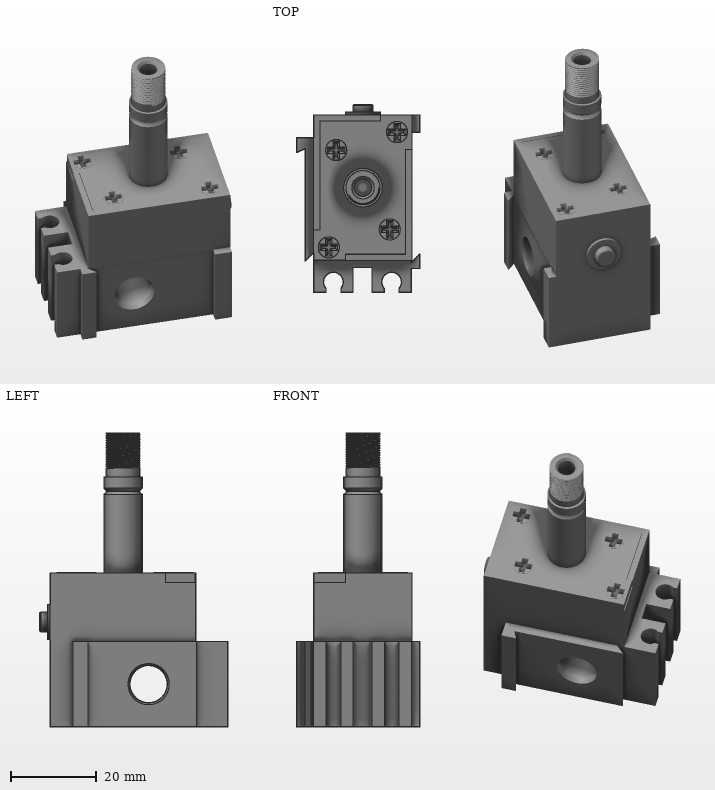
import cadquery as cq

BLOCK_WIDTH = 23.0
BLOCK_DEPTH = 34.0
BLOCK_TOP = 36.0
BASE_HEIGHT = 20.0
BASE_WIDTH = 22.8
BASE_DEPTH = 41.5
LEFT = -BLOCK_WIDTH / 2
BACK = BLOCK_DEPTH / 2
FRONT = -BACK
BASE_RIGHT = LEFT + BASE_WIDTH
BASE_FRONT = BACK - BASE_DEPTH
BASE_MIDDLE = (LEFT + BASE_RIGHT) / 2

LEFT_RAIL_THICKNESS = 2.0
LEFT_HOOK_REACH = 4.0
LEFT_HOOK_BACK = 11.7
LEFT_HOOK_TIP = 8.2
LEFT_HOOK_ROOT = 9.1
LEFT_RAIL_TIP = -17.2

RIGHT_LUG_THICKNESS = 1.8
RIGHT_RAIL_REACH = -LEFT + RIGHT_LUG_THICKNESS
BACK_LUG_LENGTH = 4.05
FRONT_LUG_FRONT = -18.9
FRONT_LUG_TIP = -15.45

NOTCH_WIDTH = 4.4
NOTCH_BACK = -18.7
SLOT_SPACING = 13.6
SLOT_CENTRE_Y = -22.05
SLOT_RADIUS = 2.3
SLOT_NECK = 3.45

PORT_Y = -6.0
PORT_RADIUS = 4.3
PORT_CHAMFER = 0.5
PORT_CHAMFER_LENGTH = 1.0

BUTTON_Z = 24.5
WASHER_RADIUS = 4.1
WASHER_THICKNESS = 0.7
BUTTON_RADIUS = 2.35
BUTTON_REACH = 2.5
BUTTON_CHAMFER = 0.3

COVER_THICKNESS = 2.3
RIM_WIDTH = 1.5
RIM_DEPTH = 1.4
FRONT_GAP = 0.15
TAB_X = 4.1
COVER_MIDDLE_Y = -0.5
TAB_Y = 9.4
COVER_BOTTOM = BLOCK_TOP - COVER_THICKNESS

INNER_SCREW = (-6.25, 9.3)
OUTER_SCREW = (8.0, 13.45)
SCREW_RADIUS = 2.5
SCREW_RISE = 0.1
CROSS_LENGTH = 4.1
CROSS_WIDTH = 1.5
CROSS_DEPTH = 1.4
CROSS_TAPER = 20

STEM_DIAMETER = 9.0
STEM_RADIUS = STEM_DIAMETER / 2
GROOVE_CENTRE = 55.0
GROOVE_HALF_HEIGHT = 0.75
GROOVE_DEPTH = 0.75
COLLAR_TOP = 58.4
NECK_RADIUS = 4.0
THREAD_START = 60.45
STEM_TOP = 68.7
THREAD_PITCH = 0.55
THREAD_DEPTH = 0.3
THREAD_GROOVE_WIDTH = 0.5
BORE_RADIUS = 2.05
BORE_CHAMFER = 0.55
BORE_DEPTH = 10.3


def base_profile():
    """Base with its coupling rails, as one extruded outline."""
    lug_root = FRONT_LUG_TIP - (RIGHT_RAIL_REACH - BASE_RIGHT)
    rail_face = LEFT - LEFT_RAIL_THICKNESS
    hook_face = LEFT - LEFT_HOOK_REACH
    outline = [
        (LEFT, BACK),
        (RIGHT_RAIL_REACH, BACK),
        (RIGHT_RAIL_REACH, BACK - BACK_LUG_LENGTH),
        (BASE_RIGHT, BACK - BACK_LUG_LENGTH),
        (BASE_RIGHT, lug_root),
        (RIGHT_RAIL_REACH, FRONT_LUG_TIP),
        (RIGHT_RAIL_REACH, FRONT_LUG_FRONT),
        (BASE_RIGHT, FRONT_LUG_FRONT),
        (BASE_RIGHT, BASE_FRONT),
        (LEFT, BASE_FRONT),
        (LEFT, LEFT_RAIL_TIP + LEFT_RAIL_THICKNESS),
        (rail_face, LEFT_RAIL_TIP),
        (rail_face, LEFT_HOOK_ROOT),
        (hook_face, LEFT_HOOK_TIP),
        (hook_face, LEFT_HOOK_BACK),
        (LEFT, LEFT_HOOK_BACK),
    ]
    return cq.Workplane("XY").polyline(outline).close().extrude(BASE_HEIGHT)


def front_cut(x, width, back):
    """Upright slot of the given width, open to the front of the base."""
    length = back - BASE_FRONT
    return cq.Workplane("XY").center(x, BASE_FRONT + length / 2).rect(width, length).extrude(BASE_HEIGHT)


def mounting_slot(x):
    """Round mounting hole with a narrower mouth at the front."""
    hole = cq.Workplane("XY").center(x, SLOT_CENTRE_Y).circle(SLOT_RADIUS).extrude(BASE_HEIGHT)
    return hole.union(front_cut(x, SLOT_NECK, SLOT_CENTRE_Y))


def port():
    """Chamfered cross bore through the base from side to side."""
    wide = PORT_RADIUS + PORT_CHAMFER
    left_face = LEFT - LEFT_RAIL_THICKNESS
    profile = [
        (left_face, 0),
        (left_face, wide),
        (left_face + PORT_CHAMFER_LENGTH, PORT_RADIUS),
        (BASE_RIGHT - PORT_CHAMFER_LENGTH, PORT_RADIUS),
        (BASE_RIGHT, wide),
        (BASE_RIGHT, 0),
    ]
    bore = cq.Workplane("XY").polyline(profile).close().revolve(360, (0, 0, 0), (1, 0, 0))
    return bore.translate((0, PORT_Y, BASE_HEIGHT / 2))


def override_button():
    """Washer and push button standing on the back face."""
    back_face = cq.Workplane("XZ", origin=(0, BACK, BUTTON_Z))
    washer = back_face.circle(WASHER_RADIUS).extrude(-WASHER_THICKNESS)
    button = back_face.circle(BUTTON_RADIUS).extrude(-BUTTON_REACH).faces(">Y").chamfer(BUTTON_CHAMFER)
    return washer.union(button)


def cover_plate(front_gap):
    """Cover outline pulled back from the front by front_gap; without a gap it fills the recess."""
    right = -LEFT
    rear_tab = COVER_MIDDLE_Y + TAB_Y
    front_tab = COVER_MIDDLE_Y - TAB_Y
    outline = [
        (TAB_X, BACK),
        (right, BACK),
        (right, rear_tab),
        (right - RIM_WIDTH, rear_tab),
        (right - RIM_WIDTH, FRONT + RIM_DEPTH + front_gap),
        (-TAB_X, FRONT + RIM_DEPTH + front_gap),
        (-TAB_X, FRONT + front_gap),
        (LEFT, FRONT + front_gap),
        (LEFT, front_tab),
        (LEFT + RIM_WIDTH, front_tab),
        (LEFT + RIM_WIDTH, BACK - RIM_DEPTH),
        (TAB_X, BACK - RIM_DEPTH),
    ]
    return cq.Workplane("XY").workplane(offset=COVER_BOTTOM).polyline(outline).close().extrude(COVER_THICKNESS)


def screw_places():
    """Two screws and their half-turn copies about the middle of the cover."""
    return [
        (side * x, COVER_MIDDLE_Y + side * y)
        for x, y in (INNER_SCREW, OUTER_SCREW)
        for side in (1, -1)
    ]


def cross_recess():
    """Tapered cross-shaped driver recess, sunk from the top of a screw head at the origin."""
    long = CROSS_LENGTH / 2
    short = CROSS_WIDTH / 2
    quarter = [(long, -short), (long, short), (short, short)]
    outline = []
    for turn in range(4):
        for x, y in quarter:
            for _ in range(turn):
                x, y = -y, x
            outline.append((x, y))
    return cq.Workplane("XY").polyline(outline).close().extrude(-CROSS_DEPTH, taper=CROSS_TAPER)


def stem_profile():
    """Half section of the stem with groove, collar, neck and bore."""
    groove_low = GROOVE_CENTRE - GROOVE_HALF_HEIGHT
    groove_high = GROOVE_CENTRE + GROOVE_HALF_HEIGHT
    return [
        (0, COVER_BOTTOM),
        (STEM_RADIUS, COVER_BOTTOM),
        (STEM_RADIUS, groove_low),
        (STEM_RADIUS - GROOVE_DEPTH, GROOVE_CENTRE),
        (STEM_RADIUS, groove_high),
        (STEM_RADIUS, COLLAR_TOP),
        (NECK_RADIUS, COLLAR_TOP),
        (NECK_RADIUS, STEM_TOP),
        (BORE_RADIUS + BORE_CHAMFER, STEM_TOP),
        (BORE_RADIUS, STEM_TOP - BORE_CHAMFER),
        (BORE_RADIUS, STEM_TOP - BORE_DEPTH),
        (0, STEM_TOP - BORE_DEPTH),
    ]


def thread_groove():
    """V-shaped helical groove from the thread start out through the top of the stem."""
    length = STEM_TOP - THREAD_START
    path = cq.Wire.makeHelix(THREAD_PITCH, length, NECK_RADIUS, center=cq.Vector(0, 0, THREAD_START))
    outer = NECK_RADIUS + THREAD_DEPTH
    section = cq.Workplane("XZ").polyline([
        (NECK_RADIUS - THREAD_DEPTH, THREAD_START),
        (outer, THREAD_START - THREAD_GROOVE_WIDTH),
        (outer, THREAD_START + THREAD_GROOVE_WIDTH),
    ]).close()
    return section.sweep(cq.Workplane(path), isFrenet=True)


def make_housing():
    block = cq.Workplane("XY").box(BLOCK_WIDTH, BLOCK_DEPTH, BLOCK_TOP - BASE_HEIGHT, centered=(True, True, False))
    housing = base_profile().union(block.translate((0, 0, BASE_HEIGHT)))
    housing = housing.cut(front_cut(BASE_MIDDLE, NOTCH_WIDTH, NOTCH_BACK))
    for side in (-1, 1):
        housing = housing.cut(mounting_slot(BASE_MIDDLE + side * SLOT_SPACING / 2))
    housing = housing.cut(port()).union(override_button())
    return housing.cut(cover_plate(front_gap=0))


def make_cover():
    stem = cq.Workplane("XZ").polyline(stem_profile()).close().revolve(360, (0, 0, 0), (0, 1, 0))
    cover = cover_plate(FRONT_GAP).union(stem.cut(thread_groove()))
    head_top = BLOCK_TOP + SCREW_RISE
    for x, y in screw_places():
        head = cq.Workplane("XY").circle(SCREW_RADIUS).extrude(SCREW_RISE)
        cover = cover.union(head.translate((x, y, BLOCK_TOP)))
        cover = cover.cut(cross_recess().translate((x, y, head_top)))
    return cover


housing = make_housing()
cover = make_cover()
result = cq.Compound.makeCompound([housing.val(), cover.val()])